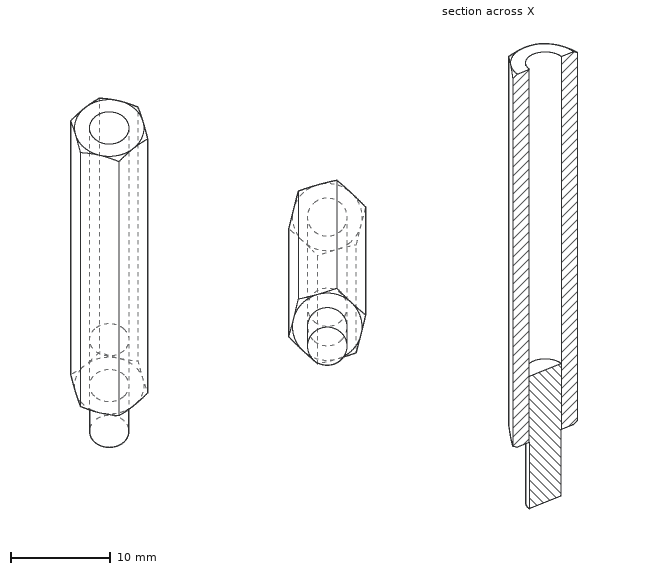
import cadquery as cq
import math

total_length = 53.0
stud_length = 8.0
across_flats = 7.0
thread_diameter = 4.0
stud_engagement = 8.0
face_diameter = 7.0
chamfer_angle = 30.0

sleeve_length = total_length - stud_length
across_corners = across_flats / math.cos(math.radians(30))
corner_radius = across_corners / 2
face_radius = face_diameter / 2
chamfer_height = (corner_radius - face_radius) * math.tan(math.radians(chamfer_angle))


def make_chamfer_envelope():
    """Round body with coned ends that trims the corners of the hexagon."""
    return (
        cq.Workplane("XZ")
        .moveTo(0, stud_length)
        .lineTo(face_radius, stud_length)
        .lineTo(corner_radius, stud_length + chamfer_height)
        .lineTo(corner_radius, total_length - chamfer_height)
        .lineTo(face_radius, total_length)
        .lineTo(0, total_length)
        .close()
        .revolve(360, (0, 0, 0), (0, 1, 0))
    )


def make_sleeve():
    """Hexagonal sleeve, corners on the Y axis, with a through bore."""
    sleeve_base = cq.Workplane("XY").workplane(offset=stud_length)
    hexagon = (
        sleeve_base
        .transformed(rotate=(0, 0, 90))
        .polygon(6, across_corners)
        .extrude(sleeve_length)
    )
    bore = sleeve_base.circle(thread_diameter / 2).extrude(sleeve_length)
    return hexagon.intersect(make_chamfer_envelope()).cut(bore)


def make_stud():
    """Plain stud seated in the lower end of the sleeve bore."""
    return (
        cq.Workplane("XY")
        .circle(thread_diameter / 2)
        .extrude(stud_length + stud_engagement)
    )


sleeve = make_sleeve()
stud = make_stud()

result = cq.Compound.makeCompound([sleeve.val(), stud.val()])